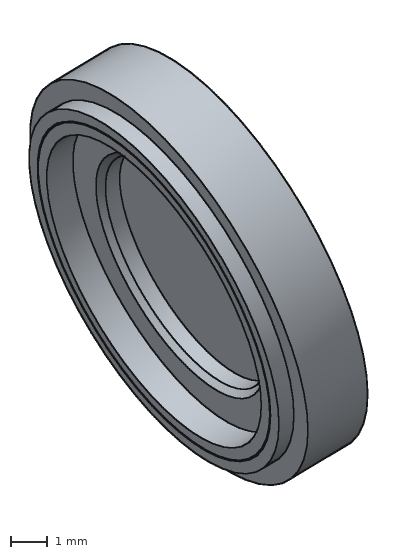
import cadquery as cq

total_depth = 2.54
front_y = -total_depth / 2

rim_diameter = 12.57
lip_diameter = 11.30
lip_height = 0.508
ring_bore_diameter = 10.54

clearance = 0.038
cup_diameter = ring_bore_diameter - 2 * clearance
recess_diameter = 9.70
recess_depth = 0.889
well_diameter = 7.25
well_depth = 0.67
chamfer = 0.185


def disc(diameter, start_depth, end_depth):
    """Solid disc about the Y axis between two depths behind the front face."""
    plane = cq.Workplane("XZ", origin=(0, front_y + end_depth, 0))
    return plane.circle(diameter / 2).extrude(end_depth - start_depth)


def make_outer_ring():
    lip = disc(lip_diameter, 0, lip_height)
    rim = disc(rim_diameter, lip_height, total_depth)
    bore = disc(ring_bore_diameter, 0, total_depth)
    return rim.union(lip).cut(bore)


def make_inner_cup():
    body = disc(cup_diameter, 0, total_depth)
    recess = disc(recess_diameter, 0, recess_depth)
    well = disc(well_diameter, recess_depth, recess_depth + well_depth)
    cup = body.cut(recess).cut(well)
    narrowest_edges = cq.selectors.RadiusNthSelector(0)
    return cup.edges(narrowest_edges).edges("<Y").chamfer(chamfer)


outer_ring = make_outer_ring()
inner_cup = make_inner_cup()

result = cq.Compound.makeCompound([outer_ring.val(), inner_cup.val()])